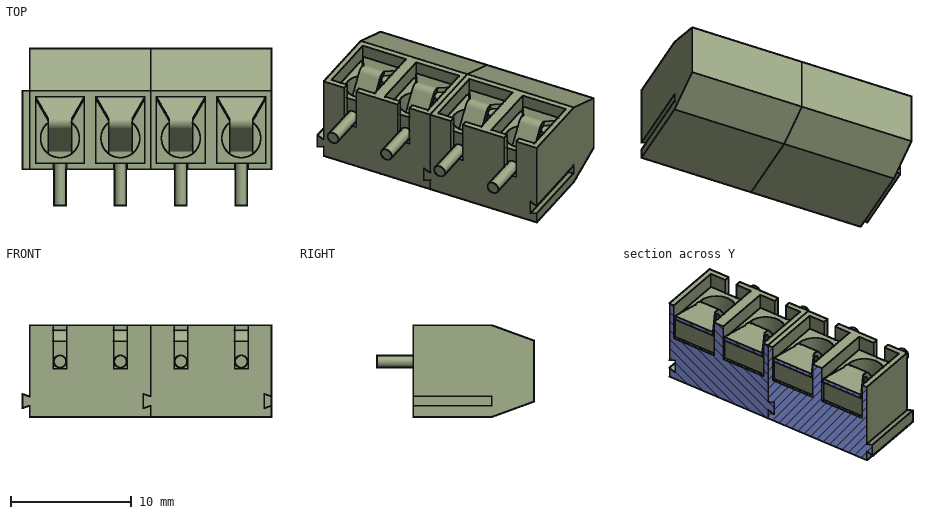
import cadquery as cq
import math


total_length = 20.6
block_count = 2
poles_per_block = 2
tongue_reach = 0.6
block_width = (total_length - tongue_reach) / block_count
pole_pitch = block_width / poles_per_block
block_depth = block_width
block_height = 7.6
taper_start = 6.5
taper_angle = math.radians(20)
taper_drop = (block_depth - taper_start) * math.tan(taper_angle)

dovetail_angle = math.radians(20)
tongue_height = 1.2
tongue_bottom = 0.72
tongue_length = taper_start
tongue_inset = tongue_reach * math.tan(dovetail_angle)

pocket_width = 4.04
pocket_front = 0.5
pocket_back = 6.0
pocket_floor = block_height - 1.34

chamber_floor = block_height - 3.4
well_diameter = 3.21
well_y = 2.57
trench_front = 5.58

slot_width = 1.11
slot_bottom = block_height - 3.6
pin_diameter = 1.0
pin_z = block_height - 3.0
pin_reach = 3.0

strip_width = 1.94
strip_thickness = 0.4
ridge_y = 3.93
ridge_z = block_height - 0.41
ridge_radius = 0.7
rear_angle = math.radians(20)
front_angle = math.radians(55)
foot_radius = 0.16


def box(x_center, width, y_range, z_range):
    """Box centred on x_center that fills the given Y and Z ranges."""
    size_y = y_range[1] - y_range[0]
    size_z = z_range[1] - z_range[0]
    solid = cq.Workplane("XY").box(width, size_y, size_z, centered=(True, False, False))
    return solid.translate((x_center, y_range[0], z_range[0]))


def make_shell(left):
    """Plain block with both rear edges tapered."""
    outline = [
        (0, 0),
        (taper_start, 0),
        (block_depth, taper_drop),
        (block_depth, block_height - taper_drop),
        (taper_start, block_height),
        (0, block_height),
    ]
    return cq.Workplane("YZ").polyline(outline).close().extrude(block_width).translate((left, 0, 0))


def make_dovetail(root_x):
    """Dovetail bar that widens from root_x toward -X."""
    tip_x = root_x - tongue_reach
    tongue_top = tongue_bottom + tongue_height
    outline = [
        (root_x, tongue_bottom + tongue_inset),
        (tip_x, tongue_bottom),
        (tip_x, tongue_top),
        (root_x, tongue_top - tongue_inset),
    ]
    return cq.Workplane("XZ").polyline(outline).close().extrude(-tongue_length)


def make_pole_cavity(x):
    """Pocket, well, rear trench and pin slot of one pole."""
    pocket = box(x, pocket_width, (pocket_front, pocket_back), (pocket_floor, block_height))
    trench = box(x, pocket_width, (trench_front, pocket_back), (chamber_floor, block_height))
    slot = box(x, slot_width, (0, pocket_front), (slot_bottom, block_height))
    well = (
        cq.Workplane("XY", origin=(x, well_y, chamber_floor))
        .circle(well_diameter / 2)
        .extrude(block_height - chamber_floor)
    )
    return pocket.union(trench).union(slot).union(well)


def ridge_point(radius, angle):
    """Point on a ridge arc; the angle is from vertical, positive toward the rear."""
    center_z = ridge_z - ridge_radius
    return (ridge_y + radius * math.sin(angle), center_z + radius * math.cos(angle))


def make_ridge_and_front_leg(x):
    """Rounded ridge and steep front leg, ending in a small concave foot on the well floor."""
    inner_radius = ridge_radius - strip_thickness
    outer_rear = ridge_point(ridge_radius, rear_angle)
    outer_top = ridge_point(ridge_radius, 0)
    outer_front = ridge_point(ridge_radius, -front_angle)
    inner_rear = ridge_point(inner_radius, rear_angle)
    inner_top = ridge_point(inner_radius, 0)
    inner_front = ridge_point(inner_radius, -front_angle)

    foot_rise = foot_radius * (1 - math.cos(front_angle))
    leg_end_z = chamber_floor + foot_rise
    leg_end_y = outer_front[0] - (outer_front[1] - leg_end_z) / math.tan(front_angle)
    toe_y = leg_end_y - foot_radius * math.sin(front_angle)
    foot_middle = (
        toe_y + foot_radius * math.sin(front_angle / 2),
        chamber_floor + foot_radius * (1 - math.cos(front_angle / 2)),
    )
    heel_y = inner_front[0] - (inner_front[1] - chamber_floor) / math.tan(front_angle)

    return (
        cq.Workplane("YZ", origin=(x, 0, 0))
        .moveTo(*outer_rear)
        .threePointArc(outer_top, outer_front)
        .lineTo(leg_end_y, leg_end_z)
        .threePointArc(foot_middle, (toe_y, chamber_floor))
        .lineTo(heel_y, chamber_floor)
        .lineTo(*inner_front)
        .threePointArc(inner_top, inner_rear)
        .close()
        .extrude(strip_width / 2, both=True)
    )


def make_rear_leg(x):
    """Sloping leg that flares from the ridge to the pocket width and is anchored in the rear wall."""
    start_y, start_z = ridge_point(ridge_radius, rear_angle)
    length = (pocket_back - start_y) / math.cos(rear_angle)
    anchor_end = length + strip_thickness
    top_plane = cq.Plane(
        origin=(x, start_y, start_z),
        xDir=(1, 0, 0),
        normal=(0, math.sin(rear_angle), math.cos(rear_angle)),
    )
    outline = [
        (-strip_width / 2, 0),
        (strip_width / 2, 0),
        (pocket_width / 2, length),
        (pocket_width / 2, anchor_end),
        (-pocket_width / 2, anchor_end),
        (-pocket_width / 2, length),
    ]
    return cq.Workplane(top_plane).polyline(outline).close().extrude(-strip_thickness)


def make_pin(x):
    """Round pin from the rear of its slot out past the front face."""
    return (
        cq.Workplane("XZ", origin=(x, pocket_front, pin_z))
        .circle(pin_diameter / 2)
        .extrude(pocket_front + pin_reach)
    )


def make_terminal_block(left):
    """One complete two-pole block whose left side lies at x = left."""
    block = make_shell(left)
    block = block.union(make_dovetail(left))
    block = block.cut(make_dovetail(left + block_width))
    for pole in range(poles_per_block):
        x = left + (pole + 0.5) * pole_pitch
        block = block.cut(make_pole_cavity(x))
        block = block.union(make_ridge_and_front_leg(x).union(make_rear_leg(x)))
        block = block.union(make_pin(x))
    return block


terminal_blocks = [make_terminal_block(index * block_width) for index in range(block_count)]

result = cq.Compound.makeCompound([block.solids().val() for block in terminal_blocks])